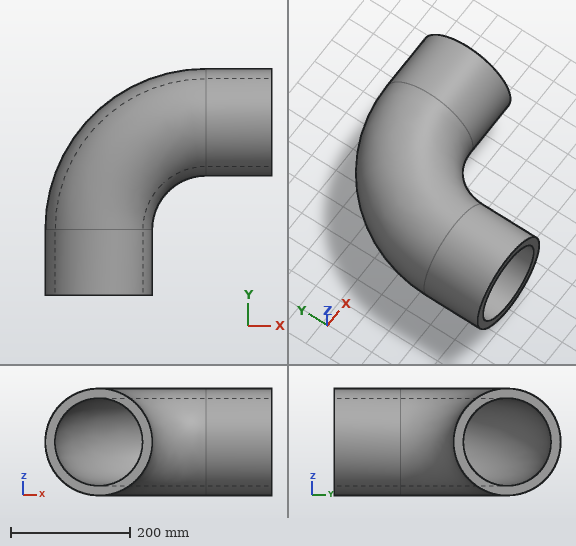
import cadquery as cq

overall_length = 380.5
outer_diameter = 180.0
wall_thickness = 16.5

inner_diameter = outer_diameter - 2 * wall_thickness
bend_radius = outer_diameter
spigot_length = overall_length - bend_radius - outer_diameter / 2
bend_angle = 90


def ring(workplane):
    """Pipe cross-section centred on the workplane."""
    return workplane.circle(outer_diameter / 2).circle(inner_diameter / 2)


bend_start = cq.Workplane("XZ", origin=(-bend_radius, 0, 0))
bend_end = cq.Workplane("YZ", origin=(0, bend_radius, 0))

bend = ring(bend_start).revolve(bend_angle, (bend_radius, 3.8, 0), (bend_radius, 0, 0))

front_spigot = ring(bend_start).extrude(spigot_length)
side_spigot = ring(bend_end).extrude(spigot_length)

result = bend.union(front_spigot).union(side_spigot)